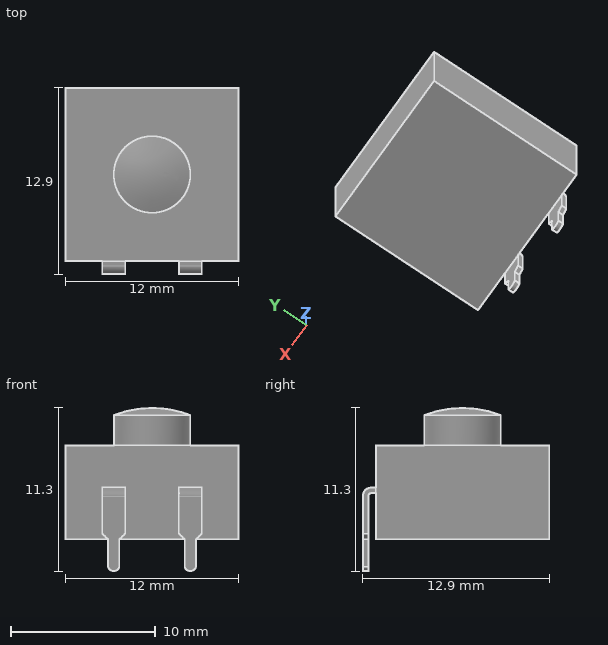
import cadquery as cq

body_side = 12.0
body_height = 6.5

button_diameter = 5.3
button_radius = button_diameter / 2
button_height = 2.09
dome_height = 0.5

pin_pitch = 5.3
pin_reach = 0.9
pin_thickness = 0.4
pin_width = 1.6
tip_width = 0.8
tip_arc_height = 0.3
pin_top = 3.59
pin_bottom = -2.2
shoulder_height = 0.4
bend_radius = 0.59
inner_bend_radius = bend_radius - pin_thickness

front_face = -body_side / 2
pin_front = front_face - pin_reach
pin_back = pin_front + pin_thickness


def make_body():
    return cq.Workplane("XY").box(body_side, body_side, body_height, centered=(True, True, False))


def make_button():
    rim_z = body_height + button_height
    top_z = rim_z + dome_height
    sphere_radius = (button_radius**2 + dome_height**2) / (2 * dome_height)
    return (
        cq.Workplane("XZ")
        .moveTo(0, body_height)
        .lineTo(button_radius, body_height)
        .lineTo(button_radius, rim_z)
        .radiusArc((0, top_z), -sphere_radius)
        .close()
        .revolve(360, (0, 0, 0), (0, 1, 0))
    )


def make_pin(x):
    strip = (
        cq.Workplane("YZ")
        .moveTo(front_face, pin_top)
        .lineTo(pin_front + bend_radius, pin_top)
        .radiusArc((pin_front, pin_top - bend_radius), -bend_radius)
        .lineTo(pin_front, pin_bottom)
        .lineTo(pin_back, pin_bottom)
        .lineTo(pin_back, pin_top - bend_radius)
        .radiusArc((pin_front + bend_radius, pin_top - pin_thickness), inner_bend_radius)
        .lineTo(front_face, pin_top - pin_thickness)
        .close()
        .extrude(pin_width / 2, both=True)
    )
    half_width = pin_width / 2
    half_tip = tip_width / 2
    tip_start = pin_bottom + tip_arc_height
    outline = (
        cq.Workplane("XZ", origin=(0, front_face, 0))
        .moveTo(-half_width, pin_top)
        .lineTo(-half_width, shoulder_height)
        .lineTo(-half_tip, 0)
        .lineTo(-half_tip, tip_start)
        .threePointArc((0, pin_bottom), (half_tip, tip_start))
        .lineTo(half_tip, 0)
        .lineTo(half_width, shoulder_height)
        .lineTo(half_width, pin_top)
        .close()
        .extrude(pin_reach)
    )
    return strip.intersect(outline).translate((x, 0, 0))


result = make_body().union(make_button())
for side in (-1, 1):
    result = result.union(make_pin(side * pin_pitch / 2))